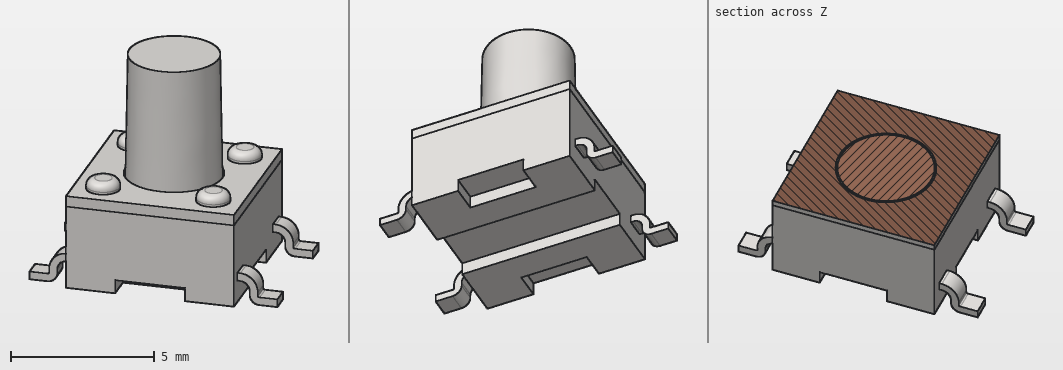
import cadquery as cq
import math


body_side = 6.1
foot_drop = 0.03
base_height = 3.09
base_top = foot_drop + base_height

notch_height = 0.5
slot_width = 2.025
side_notch_width = 2.53
side_notch_depth = 0.99

cover_thickness = 0.4
cover_top = base_top + cover_thickness
plunger_hole_radius = 1.755

overall_height = 8.01
plunger_tip_radius = 1.62
plunger_draft = math.radians(1.0)
plunger_height = overall_height - base_top
plunger_root_radius = plunger_tip_radius + plunger_height * math.tan(plunger_draft)

rivet_offset = 2.0
rivet_radius = 0.6
rivet_height = 0.4
rivet_rounding = 0.3

lead_reach = 4.5
lead_width = 0.72
lead_offset = 2.25
lead_thickness = 0.3
lead_height = 1.13
foot_length = 0.71
shoulder_outer_radius = 0.65
heel_inner_radius = 0.05


def make_base_block():
    """Square block with a through slot and two blind notches underneath."""
    block = cq.Workplane("XY").workplane(offset=foot_drop).rect(body_side, body_side).extrude(base_height)
    underside = cq.Workplane("XY").workplane(offset=foot_drop)
    slot = underside.rect(body_side, slot_width).extrude(notch_height)
    block = block.cut(slot)
    for side in (-1, 1):
        notch_y = side * (body_side - side_notch_depth) / 2
        notch = underside.center(0, notch_y).rect(side_notch_width, side_notch_depth).extrude(notch_height)
        block = block.cut(notch)
    return block


def make_plunger():
    """Tapered round plunger rising from the top of the base."""
    return (
        cq.Workplane("XZ")
        .moveTo(0, base_top)
        .lineTo(plunger_root_radius, base_top)
        .lineTo(plunger_tip_radius, overall_height)
        .lineTo(0, overall_height)
        .close()
        .revolve(360, (0, 0, 0), (0, 1, 0))
    )


def make_lead(side, y_center):
    """S-bent lead on the -X (side = -1) or +X (side = 1) face of the base."""
    diagonal = math.sqrt(0.5)
    body_face = body_side / 2
    riser_outer = lead_reach - foot_length
    riser_inner = riser_outer - lead_thickness

    shoulder_inner_radius = shoulder_outer_radius - lead_thickness
    shoulder_x = riser_outer - shoulder_outer_radius
    shoulder_z = lead_height - shoulder_outer_radius
    heel_outer_radius = heel_inner_radius + lead_thickness
    heel_x = riser_outer + heel_inner_radius
    heel_z = heel_outer_radius

    def shoulder_mid(radius):
        """Midpoint of a quarter arc about the shoulder centre."""
        return side * (shoulder_x + radius * diagonal), shoulder_z + radius * diagonal

    def heel_mid(radius):
        """Midpoint of a quarter arc about the heel centre."""
        return side * (heel_x - radius * diagonal), heel_z - radius * diagonal

    profile = (
        cq.Workplane("XZ", origin=(0, y_center + lead_width / 2, 0))
        .moveTo(side * lead_reach, 0)
        .lineTo(side * lead_reach, lead_thickness)
        .lineTo(side * heel_x, lead_thickness)
        .threePointArc(heel_mid(heel_inner_radius), (side * riser_outer, heel_z))
        .lineTo(side * riser_outer, shoulder_z)
        .threePointArc(shoulder_mid(shoulder_outer_radius), (side * shoulder_x, lead_height))
        .lineTo(side * body_face, lead_height)
        .lineTo(side * body_face, lead_height - lead_thickness)
        .lineTo(side * shoulder_x, lead_height - lead_thickness)
        .threePointArc(shoulder_mid(shoulder_inner_radius), (side * riser_inner, shoulder_z))
        .lineTo(side * riser_inner, heel_z)
        .threePointArc(heel_mid(heel_outer_radius), (side * heel_x, 0))
        .close()
    )
    return profile.extrude(lead_width)


def make_base():
    """Base block with its plunger and four leads as one solid."""
    base = make_base_block().union(make_plunger())
    for side in (-1, 1):
        for y_center in (-lead_offset, lead_offset):
            base = base.union(make_lead(side, y_center))
    return base


def make_rivet_head(x, y):
    """Low round button with a rounded rim, standing on the cover."""
    head = cq.Workplane("XY", origin=(x, y, cover_top)).circle(rivet_radius).extrude(rivet_height)
    return head.faces(">Z").edges().fillet(rivet_rounding)


def make_cover():
    """Square plate with a clearance hole for the plunger and four rivet heads."""
    cover = (
        cq.Workplane("XY", origin=(0, 0, base_top))
        .rect(body_side, body_side)
        .circle(plunger_hole_radius)
        .extrude(cover_thickness)
    )
    for x in (-rivet_offset, rivet_offset):
        for y in (-rivet_offset, rivet_offset):
            cover = cover.union(make_rivet_head(x, y))
    return cover


base = make_base()
cover = make_cover()
result = cq.Compound.makeCompound([base.solids().val(), cover.solids().val()])